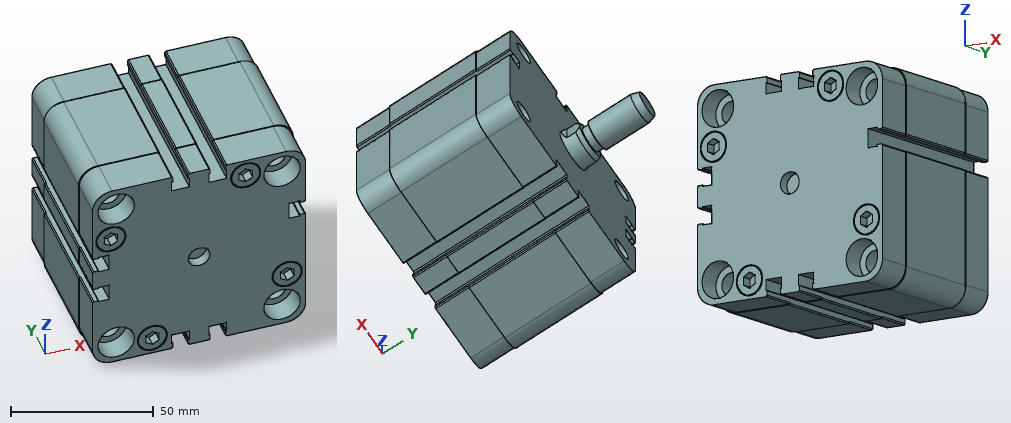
import cadquery as cq
import math

body_width = 80.0
cap_width = 79.3
corner_radius = 7.2
housing_length = 64.9
cap_length = 14.2

mount_offset = 30.9
mount_diameter = 8.4
mount_counterbore = 13.5
mount_counterbore_depth = 8.5

screw_x = 17.4
screw_z = 32.8
screw_pocket_diameter = 11.1
screw_head_diameter = 10.5
screw_gap_depth = 0.5
socket_width = 5.0
socket_depth = 3.9
socket_turn = 30

centre_hole_diameter = 8.0
centre_hole_depth = 4.0

slot_floor = 33.5
slot_step = 37.4
slot_width = 6.6
slot_neck = 5.7
slot_pair_offset = 6.9
mouth_bevel = 0.5
single_slot_width = 6.85
single_slot_neck = 5.5
single_slot_offset = 11.8

overall_length = 96.5
rod_diameter = 16.0
rod_shoulder_diameter = 13.5
rod_end = 72.4
rod_chamfer_length = 1.7
flat_width = 13.2
flat_start = 67.0
neck_diameter = 10.0
neck_end = 75.1
thread_diameter = 12.0
thread_start = 75.5
tip_diameter = 10.0
tip_length = 3.0


def front_plane(y=0.0):
    """Sketch plane facing the front: sketch x is X, sketch y is Z, extrusion runs along -Y."""
    return cq.Workplane("XZ", origin=(0, y, 0))


def square_bar(width, start, end):
    """Square bar with rounded long edges between two positions on Y."""
    bar = front_plane(start).rect(width, width).extrude(start - end)
    return bar.edges("|Y").fillet(corner_radius)


def slot_cutter(offset, width, neck, side_width, start, end):
    """Stepped slot with a bevelled mouth, cut into the +Z side of one housing section."""
    surface = side_width / 2
    half_groove = width / 2
    half_neck = neck / 2
    half_mouth = half_neck + mouth_bevel
    right_half = [
        (half_groove, slot_floor),
        (half_groove, slot_step),
        (half_neck, slot_step),
        (half_neck, surface - mouth_bevel),
        (half_mouth, surface),
    ]
    left_half = [(-x, z) for x, z in reversed(right_half)]
    return front_plane(start).center(offset, 0).polyline(right_half + left_half).close().extrude(start - end)


def turn_about_rod(cutter, angle):
    return cutter.rotate((0, 0, 0), (0, 1, 0), angle)


def cut_slots(part, side_width, start, end):
    """Slot pairs on the top, bottom and -X sides and a single slot on the +X side."""
    for offset in (-slot_pair_offset, slot_pair_offset):
        cutter = slot_cutter(offset, slot_width, slot_neck, side_width, start, end)
        for angle in (0, 180, -90):
            part = part.cut(turn_about_rod(cutter, angle))
    single = slot_cutter(-single_slot_offset, single_slot_width, single_slot_neck, side_width, start, end)
    return part.cut(turn_about_rod(single, 90))


def make_housing():
    barrel_end = housing_length - cap_length
    sections = [
        (cap_width, 0, cap_length),
        (body_width, cap_length, barrel_end),
        (cap_width, barrel_end, housing_length),
    ]
    housing = cq.Workplane("XZ")
    for width, start, end in sections:
        section = cut_slots(square_bar(width, start, end), width, start, end)
        housing = housing.union(section)
    return housing


def cut_mounting_holes(part):
    pitch = 2 * mount_offset
    holes = front_plane().rarray(pitch, pitch, 2, 2).circle(mount_diameter / 2).extrude(-housing_length)
    bores = front_plane().rarray(pitch, pitch, 2, 2).circle(mount_counterbore / 2)
    return part.cut(holes).cut(bores.extrude(-mount_counterbore_depth))


def cut_cover_screws(part):
    """Flush screw heads, each with a ring gap around it and a hexagon socket."""
    places = [(screw_x, screw_z), (-screw_z, screw_x), (-screw_x, -screw_z), (screw_z, -screw_x)]
    gaps = front_plane().pushPoints(places).circle(screw_pocket_diameter / 2).circle(screw_head_diameter / 2)
    part = part.cut(gaps.extrude(-screw_gap_depth))
    across_corners = socket_width / math.cos(math.radians(30))
    for x, z in places:
        socket = front_plane().polygon(6, across_corners).extrude(-socket_depth)
        socket = turn_about_rod(socket, socket_turn)
        part = part.cut(socket.translate((x, 0, z)))
    return part


def cut_centre_hole(part):
    return part.cut(front_plane().circle(centre_hole_diameter / 2).extrude(-centre_hole_depth))


def make_rod():
    """Turned rod with a threaded end and two wrench flats facing +X and -X."""
    root = housing_length - cap_length
    profile = [
        (0, root),
        (rod_diameter / 2, root),
        (rod_diameter / 2, rod_end - rod_chamfer_length),
        (rod_shoulder_diameter / 2, rod_end),
        (neck_diameter / 2, rod_end),
        (neck_diameter / 2, neck_end),
        (thread_diameter / 2, thread_start),
        (thread_diameter / 2, overall_length - tip_length),
        (tip_diameter / 2, overall_length),
        (0, overall_length),
    ]
    rod = cq.Workplane("XY").polyline(profile).close().revolve(360, (0, 0), (0, 1))

    half_flat = flat_width / 2
    run_out = rod_diameter / 2 - half_flat
    flat = cq.Workplane("XY").polyline([
        (half_flat, flat_start),
        (half_flat, rod_end),
        (rod_diameter / 2, rod_end),
        (rod_diameter / 2, flat_start - run_out),
    ]).close().extrude(rod_diameter / 2, both=True)
    return rod.cut(flat).cut(flat.mirror("YZ"))


housing = cut_mounting_holes(make_housing())
housing = cut_cover_screws(housing)
housing = cut_centre_hole(housing)
result = housing.union(make_rod())